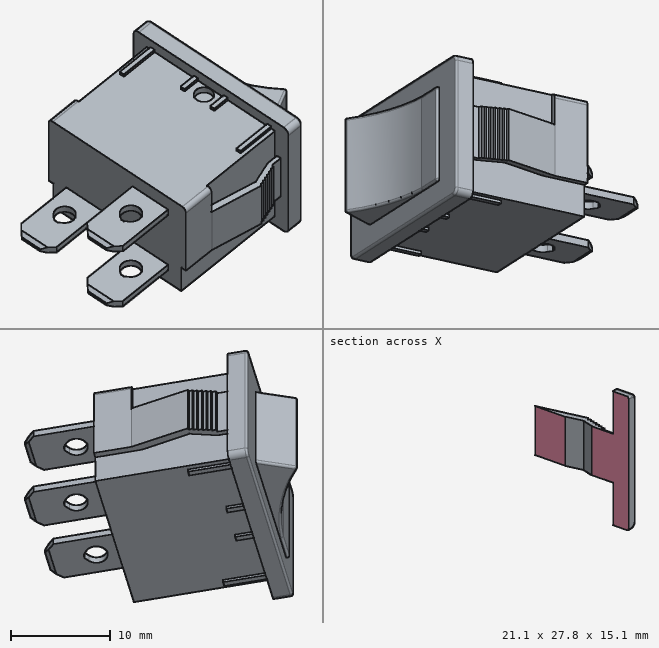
import cadquery as cq
import math


BEZEL_WIDTH = 20.95
BEZEL_HEIGHT = 15.09
BEZEL_DEPTH = 2.03
BEZEL_CORNER_RADIUS = 0.68
BEZEL_EDGE_RADIUS = 0.25

BODY_WIDTH = 17.32
BODY_HEIGHT = 12.38
BODY_DEPTH = 14.0

CLIP_HEIGHT = 5.55
SHOULDER_WIDTH = 18.58
SHOULDER_FRONT_Y = -10.17
SHOULDER_RADIUS = 0.53

CLIP_OUTER_X = 9.43
CLIP_INNER_X = 8.92
CLIP_PEAK_X = 10.54
CLIP_INNER_PEAK_X = 9.75
CLIP_PEAK_Y = -4.08
CLIP_INNER_END_Y = -9.2
TOOTH_COUNT = 6
FIRST_TOOTH_X = 9.76
FIRST_TOOTH_Y = -1.38
TOOTH_UNDERCUT = 0.09
TOOTH_RISE_LENGTH = 0.1

RIB_WIDTH = 0.55
RIB_PROJECTION = 0.33
OUTER_RIB_X = 7.89
OUTER_RIB_LENGTH = 4.6
INNER_RIB_X = 2.01
INNER_RIB_LENGTH = 2.02

TOP_HOLE_DIAMETER = 2.03
TOP_HOLE_Y = -1.05
TOP_HOLE_DEPTH = 0.76

TERMINAL_WIDTH = 4.8
TERMINAL_THICKNESS = 0.8
TERMINAL_LENGTH = 7.92
TERMINAL_CORNER = 1.15
TERMINAL_TAPER_LENGTH = 0.51
TERMINAL_TIP_THICKNESS = 0.31
TERMINAL_HOLE_DIAMETER = 2.27
TERMINAL_HOLE_SETBACK = 2.9
TERMINAL_HOLE_TIP_REACH = 1.26
TERMINAL_HOLE_TIP_WIDTH = 0.4
TERMINAL_POSITIONS = [(4.48, 4.02), (4.48, -4.0), (-4.48, -2.47)]

ROCKER_HEIGHT = 10.18
ROCKER_LEFT_X = -7.23
ROCKER_FLAT_Y = 2.36
ROCKER_CURVE_START_X = -4.22
ROCKER_CURVE_MIDDLE = (0.52, 3.41)
ROCKER_TIP = (4.9, 6.01)
ROCKER_BASE_RIGHT_X = 6.71
ROCKER_EDGE_RADIUS = 0.25
ROCKER_ROOT_Y = 1.0


def box(x_range, y_range, z_range):
    """Axis-aligned box between the given limits."""
    lows, highs = zip(x_range, y_range, z_range)
    sizes = [high - low for low, high in zip(lows, highs)]
    return cq.Workplane("XY").box(*sizes, centered=False).translate(lows)


def centred(size):
    """Limits of a length centred on zero."""
    return (-size / 2, size / 2)


def extrude_xy(sketch, height):
    """Extrude a closed XY outline symmetrically about Z = 0."""
    return sketch.close().extrude(height / 2, both=True)


def make_bezel():
    bezel = box(centred(BEZEL_WIDTH), (0, BEZEL_DEPTH), centred(BEZEL_HEIGHT))
    bezel = bezel.edges("|Y").fillet(BEZEL_CORNER_RADIUS)
    return bezel.faces(">Y").edges().fillet(BEZEL_EDGE_RADIUS)


def make_body():
    body = box(centred(BODY_WIDTH), (-BODY_DEPTH, 0), centred(BODY_HEIGHT))
    shoulders = box(
        centred(SHOULDER_WIDTH),
        (-BODY_DEPTH, SHOULDER_FRONT_Y),
        (-CLIP_HEIGHT / 2, BODY_HEIGHT / 2),
    )
    shoulders = shoulders.edges("|Y and >Z").fillet(SHOULDER_RADIUS)
    return body.union(shoulders)


def make_clip():
    """Clip on the +X side: a bent leaf with grip teeth on its front slope."""
    tooth_step_x = (CLIP_PEAK_X - FIRST_TOOTH_X) / TOOTH_COUNT
    tooth_step_y = (CLIP_PEAK_Y - FIRST_TOOTH_Y) / TOOTH_COUNT
    outline = [
        (CLIP_INNER_X, 0),
        (CLIP_OUTER_X, 0),
        (CLIP_OUTER_X, FIRST_TOOTH_Y + TOOTH_RISE_LENGTH),
    ]
    for index in range(TOOTH_COUNT):
        tooth_x = FIRST_TOOTH_X + index * tooth_step_x
        tooth_y = FIRST_TOOTH_Y + index * tooth_step_y
        outline.append((tooth_x, tooth_y))
        outline.append((tooth_x - TOOTH_UNDERCUT, tooth_y + tooth_step_y + TOOTH_RISE_LENGTH))
    outline += [
        (CLIP_PEAK_X, CLIP_PEAK_Y),
        (SHOULDER_WIDTH / 2, SHOULDER_FRONT_Y),
        (BODY_WIDTH / 2, SHOULDER_FRONT_Y),
        (BODY_WIDTH / 2, CLIP_INNER_END_Y),
        (CLIP_INNER_PEAK_X, CLIP_PEAK_Y),
        (CLIP_INNER_X, FIRST_TOOTH_Y),
    ]
    return extrude_xy(cq.Workplane("XY").polyline(outline), CLIP_HEIGHT)


def make_rib(x, length):
    """Matching ribs on the top and bottom faces, joined through the body."""
    rib_span = BODY_HEIGHT + 2 * RIB_PROJECTION
    rib = box(centred(RIB_WIDTH), (-length, 0), centred(rib_span))
    return rib.translate((x, 0, 0))


def make_terminal(x, z):
    """Flat blade with clipped corners, a tapered tip and a teardrop hole."""
    half_width = TERMINAL_WIDTH / 2
    half_thickness = TERMINAL_THICKNESS / 2
    half_tip = TERMINAL_TIP_THICKNESS / 2
    root_y = -BODY_DEPTH
    end_y = root_y - TERMINAL_LENGTH

    blade = box(centred(TERMINAL_WIDTH), (end_y, root_y), centred(TERMINAL_THICKNESS))
    blade = blade.faces("<Y").edges("|Z").chamfer(TERMINAL_CORNER)

    taper_y = end_y + TERMINAL_TAPER_LENGTH
    side_profile = [
        (root_y, -half_thickness),
        (taper_y, -half_thickness),
        (end_y, -half_tip),
        (end_y, half_tip),
        (taper_y, half_thickness),
        (root_y, half_thickness),
    ]
    tapered = cq.Workplane("YZ").polyline(side_profile).close().extrude(half_width, both=True)
    blade = blade.intersect(tapered)

    radius = TERMINAL_HOLE_DIAMETER / 2
    hole_y = root_y - TERMINAL_HOLE_SETBACK
    half_flat = TERMINAL_HOLE_TIP_WIDTH / 2
    tip_distance = math.hypot(half_flat, TERMINAL_HOLE_TIP_REACH)
    tangent_angle = math.acos(radius / tip_distance) + math.atan2(half_flat, TERMINAL_HOLE_TIP_REACH)
    tangent_x = radius * math.sin(tangent_angle)
    tangent_y = hole_y - radius * math.cos(tangent_angle)
    tip_y = hole_y - TERMINAL_HOLE_TIP_REACH
    hole_sketch = (
        cq.Workplane("XY")
        .moveTo(half_flat, tip_y)
        .lineTo(tangent_x, tangent_y)
        .threePointArc((0, hole_y + radius), (-tangent_x, tangent_y))
        .lineTo(-half_flat, tip_y)
    )
    hole = extrude_xy(hole_sketch, 2 * TERMINAL_THICKNESS)
    return blade.cut(hole).translate((x, 0, z))


def make_rocker():
    """Rocker tilted towards -X, with its root buried in the bezel."""
    tip_x, tip_y = ROCKER_TIP
    side_slope = (ROCKER_BASE_RIGHT_X - tip_x) / (tip_y - BEZEL_DEPTH)
    root_right_x = ROCKER_BASE_RIGHT_X + side_slope * (BEZEL_DEPTH - ROCKER_ROOT_Y)
    profile = (
        cq.Workplane("XY")
        .moveTo(ROCKER_LEFT_X, ROCKER_ROOT_Y)
        .lineTo(ROCKER_LEFT_X, ROCKER_FLAT_Y)
        .lineTo(ROCKER_CURVE_START_X, ROCKER_FLAT_Y)
        .threePointArc(ROCKER_CURVE_MIDDLE, ROCKER_TIP)
        .lineTo(root_right_x, ROCKER_ROOT_Y)
    )
    rocker = extrude_xy(profile, ROCKER_HEIGHT)
    return rocker.edges("not <Y").fillet(ROCKER_EDGE_RADIUS)


def make_top_hole():
    hole_floor_z = BODY_HEIGHT / 2 - TOP_HOLE_DEPTH
    hole = cq.Workplane("XY").circle(TOP_HOLE_DIAMETER / 2).extrude(TOP_HOLE_DEPTH)
    return hole.translate((0, TOP_HOLE_Y, hole_floor_z))


result = make_bezel().union(make_body())
clip = make_clip()
result = result.union(clip).union(clip.mirror("YZ"))
for side in (-1, 1):
    result = result.union(make_rib(side * OUTER_RIB_X, OUTER_RIB_LENGTH))
    result = result.union(make_rib(side * INNER_RIB_X, INNER_RIB_LENGTH))
for terminal_x, terminal_z in TERMINAL_POSITIONS:
    result = result.union(make_terminal(terminal_x, terminal_z))
result = result.union(make_rocker()).cut(make_top_hole())